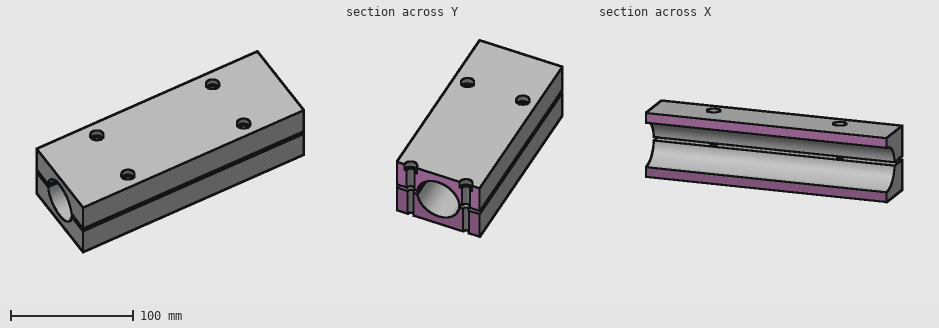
import cadquery as cq

LENGTH = 210.0
WIDTH = 75.0
HEIGHT = 55.0
GAP = 3.0
HALF_HEIGHT = (HEIGHT - GAP) / 2

BORE_DIAMETER = 37.5

SCREW_SPACING_X = 50.0
SCREW_SPACING_Y = 110.0
HEAD_DIAMETER = 11.0
HEAD_DEPTH = 6.0
CLEARANCE_DIAMETER = 7.0
THREAD_DIAMETER = 5.0


def clamp_half(bottom_z):
    """Plain clamp half with its side of the lengthwise bore cut away."""
    block = cq.Workplane("XY").box(WIDTH, LENGTH, HALF_HEIGHT, centered=(True, True, False))
    block = block.translate((0, 0, bottom_z))
    bore = cq.Workplane("XZ").circle(BORE_DIAMETER / 2).extrude(LENGTH / 2, both=True)
    return block.cut(bore)


def screw_points(half):
    """Screw centres on the top face of a clamp half."""
    top = half.faces(">Z").workplane(origin=(0, 0, 0))
    return top.rarray(SCREW_SPACING_X, SCREW_SPACING_Y, 2, 2)


def make_upper_clamp():
    """Upper half with counterbored clearance holes."""
    half = clamp_half(GAP / 2)
    return screw_points(half).cboreHole(CLEARANCE_DIAMETER, HEAD_DIAMETER, HEAD_DEPTH)


def make_lower_clamp():
    """Lower half with through holes at thread core size."""
    half = clamp_half(-HEIGHT / 2)
    return screw_points(half).hole(THREAD_DIAMETER)


upper_clamp = make_upper_clamp()
lower_clamp = make_lower_clamp()

result = cq.Compound.makeCompound([upper_clamp.solids().val(), lower_clamp.solids().val()])